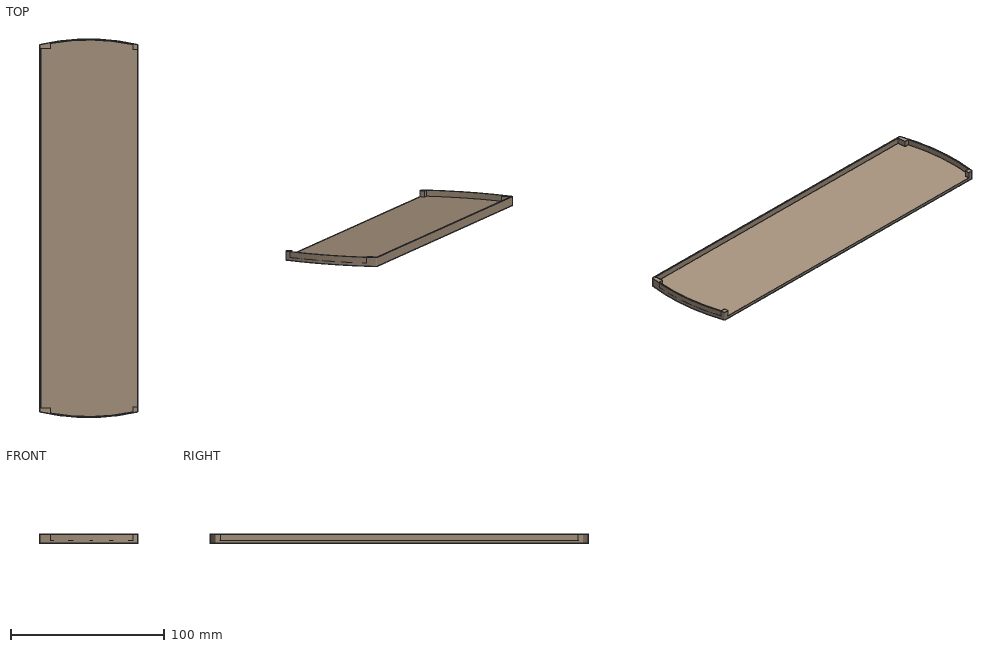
import cadquery as cq

width = 64.0
length = 247.2
height = 6.0

end_bulge = 3.7
corner_radius = 0.7

floor_thickness = 2.0
wall_thickness = 0.7

left_block_width = 7.0
left_block_length = 2.5
right_block_width = 3.2
right_block_length = 3.2

half_width = width / 2
half_length = length / 2
corner_y = half_length - end_bulge
end_radius = (half_width**2 + end_bulge**2) / (2 * end_bulge)
end_center_y = half_length - end_radius


def bowed_plate(thickness):
    """Plate with straight long sides and outward-bowed ends, standing on Z = 0."""
    return (
        cq.Workplane("XY")
        .moveTo(-half_width, -corner_y)
        .threePointArc((0, -half_length), (half_width, -corner_y))
        .lineTo(half_width, corner_y)
        .threePointArc((0, half_length), (-half_width, corner_y))
        .close()
        .extrude(thickness)
    )


def end_disc(side):
    """Disc whose rim follows the inside of the thin wall at one bowed end."""
    return (
        cq.Workplane("XY")
        .center(0, side * end_center_y)
        .circle(end_radius - wall_thickness)
        .extrude(height)
    )


def recess():
    """Recess inside the left wall and both end walls, open along the right side."""
    recess_width = width - wall_thickness
    space = (
        cq.Workplane("XY")
        .box(recess_width, length, height, centered=(False, True, False))
        .translate((-half_width + wall_thickness, 0, 0))
    )
    for side in (-1, 1):
        space = space.intersect(end_disc(side))
    return space.translate((0, 0, floor_thickness))


def corner_block(x_side, y_side, block_width, block_length):
    """Full-height block reaching inward from one corner, running out past the bowed end."""
    block_depth = block_length + end_bulge
    x_center = x_side * (half_width - block_width / 2)
    y_center = y_side * (half_length - block_depth / 2)
    return (
        cq.Workplane("XY")
        .center(x_center, y_center)
        .rect(block_width, block_depth)
        .extrude(height)
    )


body = bowed_plate(height).edges("|Z").fillet(corner_radius)

pocket = recess()
for y_side in (-1, 1):
    pocket = pocket.cut(corner_block(-1, y_side, left_block_width, left_block_length))
    pocket = pocket.cut(corner_block(1, y_side, right_block_width, right_block_length))

result = body.cut(pocket)